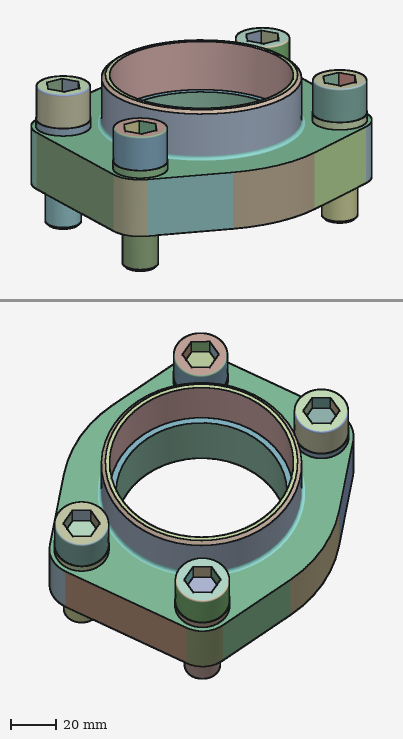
import cadquery as cq
import math

flange_length = 135.0
flange_thickness = 27.0
side_radius = 62.0
bolt_x = 30.9
bolt_y = 53.2
corner_radius = flange_length / 2 - bolt_y

collar_diameter = 89.0
collar_height = 23.0
collar_chamfer_width = 1.8
collar_chamfer_height = 1.4
collar_base_fillet = 1.6
socket_diameter = 81.7
bore_diameter = 76.0

shank_diameter = 16.0
shank_length_below = 19.6
shank_chamfer = 1.4
washer_diameter = 24.5
washer_thickness = 3.5
head_diameter = 24.0
head_height = 15.9
head_edge_fillet = 0.7
hex_corner_diameter = 16.2
hex_depth = 8.0


def make_flange():
    """Plate whose slanted sides are tangent to the side arcs and to the corner arcs."""
    bolt_distance = math.hypot(bolt_x, bolt_y)
    bolt_angle = math.atan2(bolt_y, bolt_x)
    normal_angle = bolt_angle - math.acos((side_radius - corner_radius) / bolt_distance)
    mid_angle = (normal_angle + math.pi / 2) / 2

    side_x = side_radius * math.cos(normal_angle)
    side_y = side_radius * math.sin(normal_angle)
    corner_x = bolt_x + corner_radius * math.cos(normal_angle)
    corner_y = bolt_y + corner_radius * math.sin(normal_angle)
    mid_x = bolt_x + corner_radius * math.cos(mid_angle)
    mid_y = bolt_y + corner_radius * math.sin(mid_angle)
    end_y = flange_length / 2

    return (
        cq.Workplane("XY")
        .moveTo(side_x, -side_y)
        .threePointArc((side_radius, 0), (side_x, side_y))
        .lineTo(corner_x, corner_y)
        .threePointArc((mid_x, mid_y), (bolt_x, end_y))
        .lineTo(-bolt_x, end_y)
        .threePointArc((-mid_x, mid_y), (-corner_x, corner_y))
        .lineTo(-side_x, side_y)
        .threePointArc((-side_radius, 0), (-side_x, -side_y))
        .lineTo(-corner_x, -corner_y)
        .threePointArc((-mid_x, -mid_y), (-bolt_x, -end_y))
        .lineTo(bolt_x, -end_y)
        .threePointArc((mid_x, -mid_y), (corner_x, -corner_y))
        .close()
        .extrude(flange_thickness)
    )


def make_collar():
    """Solid collar with a chamfered rim and a concave fillet at its foot."""
    radius = collar_diameter / 2
    foot_radius = radius + collar_base_fillet
    foot_z = flange_thickness
    top_z = foot_z + collar_height
    arc_offset = collar_base_fillet * (1 - math.sqrt(0.5))
    return (
        cq.Workplane("XZ")
        .moveTo(0, foot_z)
        .lineTo(foot_radius, foot_z)
        .threePointArc(
            (radius + arc_offset, foot_z + arc_offset),
            (radius, foot_z + collar_base_fillet),
        )
        .lineTo(radius, top_z - collar_chamfer_height)
        .lineTo(radius - collar_chamfer_width, top_z)
        .lineTo(0, top_z)
        .close()
        .revolve(360, (0, 0, 0), (0, 1, 0))
    )


def cut_bores(body):
    """Through bore, widened inside the collar."""
    bore = cq.Workplane("XY").circle(bore_diameter / 2).extrude(flange_thickness)
    socket = (
        cq.Workplane("XY", origin=(0, 0, flange_thickness))
        .circle(socket_diameter / 2)
        .extrude(collar_height)
    )
    return body.cut(bore).cut(socket)


def make_bolt():
    """One bolt and its washer, on the Z axis at its working height."""
    head_z = flange_thickness + washer_thickness
    shank = (
        cq.Workplane("XY", origin=(0, 0, -shank_length_below))
        .circle(shank_diameter / 2)
        .extrude(shank_length_below + head_z)
        .faces("<Z")
        .chamfer(shank_chamfer)
    )
    washer = (
        cq.Workplane("XY", origin=(0, 0, flange_thickness))
        .circle(washer_diameter / 2)
        .extrude(washer_thickness)
    )
    head = (
        cq.Workplane("XY", origin=(0, 0, head_z))
        .circle(head_diameter / 2)
        .extrude(head_height)
        .faces(">Z")
        .edges()
        .fillet(head_edge_fillet)
    )
    hex_socket = (
        cq.Workplane("XY", origin=(0, 0, head_z + head_height))
        .transformed(rotate=(0, 0, 90))
        .polygon(6, hex_corner_diameter)
        .extrude(-hex_depth)
    )
    return shank.union(washer).union(head.cut(hex_socket))


result = cut_bores(make_flange().union(make_collar()))
bolt = make_bolt()
for x in (-bolt_x, bolt_x):
    for y in (-bolt_y, bolt_y):
        result = result.union(bolt.translate((x, y, 0)))